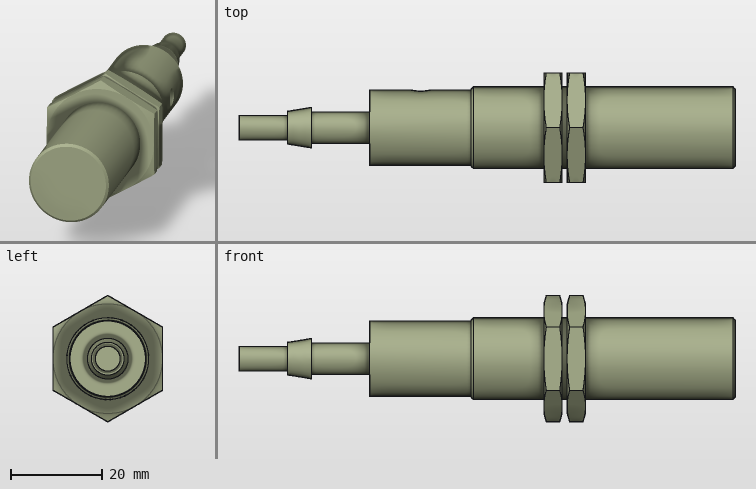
import cadquery as cq
import math

LENGTH = 108.8
TIP_X = -LENGTH / 2
BARB_START_X = TIP_X + 10.5
BARB_END_X = TIP_X + 15.9
REAR_START_X = TIP_X + 28.6
BARREL_START_X = TIP_X + 50.8
BARREL_END_X = LENGTH / 2

TIP_DIA = 5.4
BARB_SMALL_DIA = 7.2
BARB_LARGE_DIA = 8.9
STEM_DIA = 7.0
REAR_DIA = 16.5
BARREL_DIA = 18.0
BARREL_CHAMFER = 0.5

WINDOW_DIA = 4.0
WINDOW_DEPTH = 1.1
WINDOW_X = TIP_X + 39.8

NUT_ACROSS_FLATS = 24.0
NUT_ACROSS_CORNERS = NUT_ACROSS_FLATS / math.cos(math.pi / 6)
NUT_WIDTH = 4.0
NUT_CORNER_CHAMFER = 0.5
FIRST_NUT_X = TIP_X + 66.8
NUT_PITCH = 5.1
NUT_COUNT = 2


def make_housing():
    """Stepped round body with a barbed stem at the -X end."""
    chamfer_radius = BARREL_DIA / 2 - BARREL_CHAMFER
    profile = [
        (TIP_X, 0),
        (TIP_X, TIP_DIA / 2),
        (BARB_START_X, TIP_DIA / 2),
        (BARB_START_X, BARB_SMALL_DIA / 2),
        (BARB_END_X, BARB_LARGE_DIA / 2),
        (BARB_END_X, STEM_DIA / 2),
        (REAR_START_X, STEM_DIA / 2),
        (REAR_START_X, REAR_DIA / 2),
        (BARREL_START_X, REAR_DIA / 2),
        (BARREL_START_X, chamfer_radius),
        (BARREL_START_X + BARREL_CHAMFER, BARREL_DIA / 2),
        (BARREL_END_X - BARREL_CHAMFER, BARREL_DIA / 2),
        (BARREL_END_X, chamfer_radius),
        (BARREL_END_X, 0),
    ]
    body = cq.Workplane("XY").polyline(profile).close().revolve(360, (0, 0, 0), (1, 0, 0))
    window_floor_y = REAR_DIA / 2 - WINDOW_DEPTH
    window = (
        cq.Workplane("XZ", origin=(WINDOW_X, window_floor_y, 0))
        .circle(WINDOW_DIA / 2)
        .extrude(-2 * WINDOW_DEPTH)
    )
    return body.cut(window)


def make_nut(start_x):
    """Hex nut with corners up and down, both faces chamfered down to the across-flats circle."""
    end_x = start_x + NUT_WIDTH
    hexagon = (
        cq.Workplane("YZ", origin=(start_x, 0, 0))
        .transformed(rotate=(0, 0, 90))
        .polygon(6, NUT_ACROSS_CORNERS)
        .circle(BARREL_DIA / 2)
        .extrude(NUT_WIDTH)
    )
    envelope_profile = [
        (start_x, 0),
        (start_x, NUT_ACROSS_FLATS / 2),
        (start_x + NUT_CORNER_CHAMFER, NUT_ACROSS_CORNERS / 2),
        (end_x - NUT_CORNER_CHAMFER, NUT_ACROSS_CORNERS / 2),
        (end_x, NUT_ACROSS_FLATS / 2),
        (end_x, 0),
    ]
    envelope = (
        cq.Workplane("XY").polyline(envelope_profile).close().revolve(360, (0, 0, 0), (1, 0, 0))
    )
    return hexagon.intersect(envelope)


housing = make_housing()
nuts = [make_nut(FIRST_NUT_X + i * NUT_PITCH) for i in range(NUT_COUNT)]

result = cq.Compound.makeCompound([housing.val(), *[nut.val() for nut in nuts]])